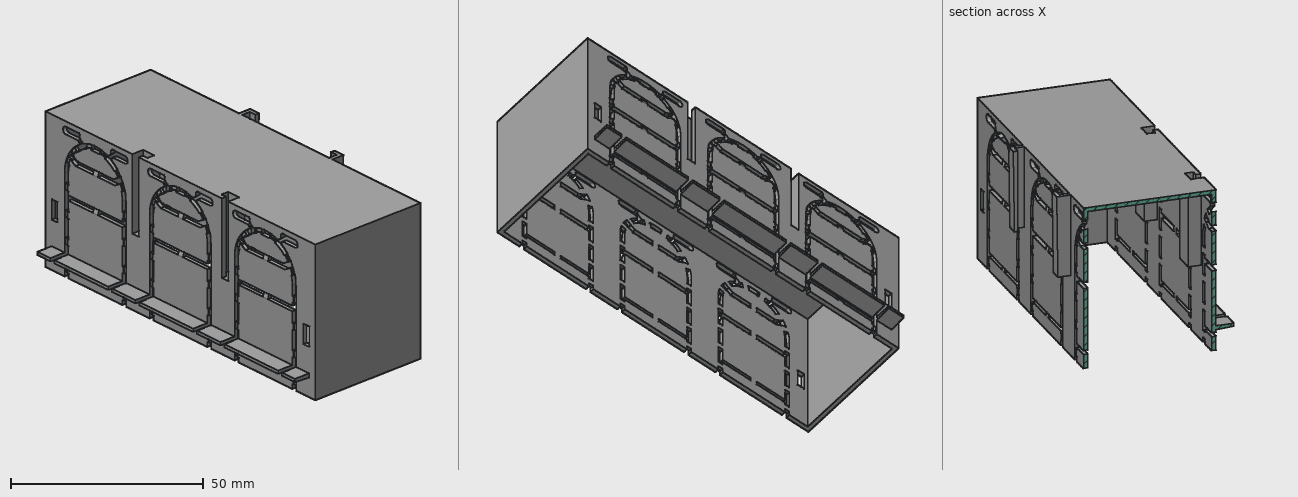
import cadquery as cq
import math

WIDTH = 105.0
DEPTH = 36.6
HEIGHT = 45.0
WALL = 1.3

WINDOW_PITCH = 33.1
WINDOW_CENTRES = [-WINDOW_PITCH, 0, WINDOW_PITCH]
GAP = 1.5
ARCH_RADIUS = 12.0
PANE_RADIUS = ARCH_RADIUS - GAP
ARCH_CENTRE_Z = 30.0
PANE_TOP = 40.3

LOWER_GAP = (4.0, 5.0)
MIDDLE_GAP = (22.5, 24.0)
UPPER_GAP = (33.5, 35.1)
UPPER_GAP_RISE = math.tan(math.radians(30))
UPPER_GAP_BOTTOM_HALF = 7.7
UPPER_GAP_TOP_HALF = 7.0

TAB_SIZE = 2.0
TAB_RECESS = 0.4
TAB_ROOT = 0.3
TAB_LEAN = 0.3
TAB_OVERLAP = 0.2
SIDE_TAB_COUNT = 4
SIDE_TAB_PITCH = 7.9
FIRST_SIDE_TAB_Z = 2.3
ARCH_TAB_ANGLES = [20, 40, 75.5]

SLOT_OUTER = 12.6
SLOT_INNER = 6.1
SLOT_BOTTOM = 41.3
SLOT_TOP = 43.5
SLOT_CORNER = 0.4
NECK_OUTER = 6.3
NECK_TIP = 4.6
NECK_BEND_Z = 42.0
NECK_TIP_Z = 40.8
NECK_BASE_Z = 39.9

SHELF_REACH = 4.9
SHELF_LENGTH = 100.2
SHELF_TOP = 6.9
SHELF_ROOT_BOTTOM = 5.7
SHELF_TIP_BOTTOM = 6.0

END_HOLE_WIDTH = 2.2
END_HOLE_HEIGHT = 5.9
END_HOLE_X = (SHELF_LENGTH - END_HOLE_WIDTH) / 2
END_HOLE_Z = 17.5

HOOK_OUTER_X = 18.2
HOOK_LENGTH = 3.5
HOOK_THICKNESS = 1.3
HOOK_REACH = 3.9
HOOK_TAPER = 0.3
HOOK_BOTTOM = 22.5
GROOVE_OUTER_X = 18.7
GROOVE_LENGTH = 4.3
GROOVE_STEM = 2.5
GROOVE_DEPTH = 3.8
GROOVE_LIP = 1.5
GROOVE_BOTTOM = 22.0
HOUSING_WALL = 1.0

SNAP_WIDTH = 2.7
SNAP_REACH = 1.3
SNAP_TIP_Z = 41.7
SNAP_ROOT_Z = ARCH_CENTRE_Z + ARCH_RADIUS + TAB_OVERLAP
SNAP_LEAN = 0.6


def block(x_range, y_range, z_range):
    """Box between the given limits."""
    sizes = [limits[1] - limits[0] for limits in (x_range, y_range, z_range)]
    corner = (x_range[0], y_range[0], z_range[0])
    return cq.Workplane("XY").box(*sizes, centered=False).translate(corner)


def from_front(outline, start_y, end_y):
    """Extrude an outline drawn on XZ from start_y back to end_y."""
    return outline.extrude(-(end_y - start_y)).translate((0, start_y, 0))


def side_profile(points, centre_x, width):
    """Extrude a (Y, Z) polygon along X, centred on centre_x."""
    profile = cq.Workplane("YZ").polyline(points).close()
    return profile.extrude(width / 2, both=True).translate((centre_x, 0, 0))


def both_sides(shape):
    """The shape together with its mirror image across X = 0."""
    return shape.union(shape.mirror("YZ"))


def arch(radius, start_y, end_y):
    """Round-topped window shape standing on Z = 0."""
    outline = (
        cq.Workplane("XZ")
        .moveTo(-radius, 0)
        .lineTo(-radius, ARCH_CENTRE_Z)
        .threePointArc((0, ARCH_CENTRE_Z + radius), (radius, ARCH_CENTRE_Z))
        .lineTo(radius, 0)
        .close()
    )
    return from_front(outline, start_y, end_y)


def upper_gap(start_y, end_y):
    """Horizontal gap whose two ends bend upward."""
    bottom, top = UPPER_GAP
    bottom_end = bottom + (ARCH_RADIUS - UPPER_GAP_BOTTOM_HALF) * UPPER_GAP_RISE
    top_end = top + (ARCH_RADIUS - UPPER_GAP_TOP_HALF) * UPPER_GAP_RISE
    right = [
        (UPPER_GAP_BOTTOM_HALF, bottom),
        (ARCH_RADIUS, bottom_end),
        (ARCH_RADIUS, top_end),
        (UPPER_GAP_TOP_HALF, top),
    ]
    left = [(-x, z) for x, z in reversed(right)]
    outline = cq.Workplane("XZ").polyline(right + left).close()
    return from_front(outline, start_y, end_y)


def keyhole_slot(start_y, end_y):
    """Rounded slot with a neck that opens into the right shoulder of the arch."""
    end_radius = (SLOT_TOP - SLOT_BOTTOM) / 2
    outline = (
        cq.Workplane("XZ")
        .moveTo(NECK_OUTER, SLOT_BOTTOM - SLOT_CORNER)
        .lineTo(NECK_OUTER + SLOT_CORNER, SLOT_BOTTOM)
        .lineTo(SLOT_OUTER - end_radius, SLOT_BOTTOM)
        .threePointArc((SLOT_OUTER, SLOT_BOTTOM + end_radius), (SLOT_OUTER - end_radius, SLOT_TOP))
        .lineTo(SLOT_INNER + SLOT_CORNER, SLOT_TOP)
        .lineTo(SLOT_INNER, SLOT_TOP - SLOT_CORNER)
        .lineTo(SLOT_INNER, NECK_BEND_Z)
        .lineTo(NECK_TIP, NECK_TIP_Z)
        .lineTo(NECK_TIP, NECK_BASE_Z)
        .lineTo(NECK_OUTER, NECK_BASE_Z)
        .close()
    )
    return from_front(outline, start_y, end_y)


def window_gaps(start_y, end_y):
    """All the open space of one window: arch and slots, less the panes."""
    depth = (start_y, end_y)
    pane_span = (-PANE_RADIUS, PANE_RADIUS)
    panes = arch(PANE_RADIUS, start_y, end_y)
    panes = panes.intersect(block(pane_span, depth, (0, PANE_TOP)))
    for gap in (LOWER_GAP, MIDDLE_GAP):
        panes = panes.cut(block(pane_span, depth, gap))
    panes = panes.cut(upper_gap(start_y, end_y))
    openings = arch(ARCH_RADIUS, start_y, end_y).union(both_sides(keyhole_slot(start_y, end_y)))
    return openings.cut(panes)


def bridge_tab():
    """Tab lying along +X across the gap, recessed except for its root on the pane."""
    half = TAB_SIZE / 2
    pane_side = PANE_RADIUS - TAB_OVERLAP
    bridge = block((pane_side, ARCH_RADIUS + TAB_OVERLAP), (TAB_RECESS, WALL), (-half, half))
    return bridge.union(block((pane_side, PANE_RADIUS + TAB_ROOT), (0, WALL), (-half, half)))


def ramp_tab(gap):
    """Tab across a horizontal gap, its face leaning back toward the top."""
    bottom, top = gap
    lean = TAB_LEAN * (top - bottom)
    points = [
        (0, bottom - TAB_OVERLAP),
        (0, bottom),
        (lean, top),
        (lean, top + TAB_OVERLAP),
        (WALL, top + TAB_OVERLAP),
        (WALL, bottom - TAB_OVERLAP),
    ]
    return side_profile(points, 0, TAB_SIZE)


def window_tabs():
    """All the tabs of one window in the front wall."""
    tabs = cq.Workplane("XY")
    for index in range(SIDE_TAB_COUNT):
        z = FIRST_SIDE_TAB_Z + index * SIDE_TAB_PITCH
        tabs = tabs.union(both_sides(bridge_tab().translate((0, 0, z))))
    for angle in ARCH_TAB_ANGLES:
        tab = bridge_tab().rotate((0, 0, 0), (0, 1, 0), -angle)
        tabs = tabs.union(both_sides(tab.translate((0, 0, ARCH_CENTRE_Z))))
    for gap in (LOWER_GAP, MIDDLE_GAP, UPPER_GAP):
        tabs = tabs.union(ramp_tab(gap))
    return tabs


def shell():
    """Hollow body, open at the bottom."""
    outer = block((-WIDTH / 2, WIDTH / 2), (0, DEPTH), (0, HEIGHT))
    inner_half = WIDTH / 2 - WALL
    return outer.cut(block((-inner_half, inner_half), (WALL, DEPTH - WALL), (0, HEIGHT - WALL)))


def shelf():
    """Thin ledge along the front with a tapered underside."""
    points = [
        (0, SHELF_ROOT_BOTTOM),
        (-SHELF_REACH, SHELF_TIP_BOTTOM),
        (-SHELF_REACH, SHELF_TOP),
        (0, SHELF_TOP),
    ]
    return side_profile(points, 0, SHELF_LENGTH)


def groove_housing():
    """Solid block behind the front wall that holds the left groove."""
    x_range = (-GROOVE_OUTER_X - HOUSING_WALL, -GROOVE_OUTER_X + GROOVE_LENGTH + HOUSING_WALL)
    return block(x_range, (0, GROOVE_DEPTH + HOUSING_WALL), (GROOVE_BOTTOM - HOUSING_WALL, HEIGHT))


def groove():
    """Left L-shaped groove, open at the front and the top."""
    left = -GROOVE_OUTER_X
    z_range = (GROOVE_BOTTOM, HEIGHT)
    stem = block((left, left + GROOVE_STEM), (0, GROOVE_DEPTH), z_range)
    return stem.union(block((left, left + GROOVE_LENGTH), (GROOVE_LIP, GROOVE_DEPTH), z_range))


def hook():
    """Left L-shaped hook on the back, its outer face tapering in toward the bottom."""
    left = -HOOK_OUTER_X
    tip = DEPTH + HOOK_REACH
    points = [
        (DEPTH, HOOK_BOTTOM),
        (tip - HOOK_TAPER, HOOK_BOTTOM),
        (tip, HEIGHT),
        (DEPTH, HEIGHT),
    ]
    blank = side_profile(points, left + HOOK_LENGTH / 2, HOOK_LENGTH)
    throat = block(
        (left + HOOK_THICKNESS, left + HOOK_LENGTH),
        (DEPTH, tip - HOOK_THICKNESS),
        (HOOK_BOTTOM, HEIGHT),
    )
    return blank.cut(throat)


def snap_wedge():
    """Wedge across the top of the left window, leaning out of the back wall."""
    points = [
        (DEPTH - WALL, SNAP_ROOT_Z),
        (DEPTH, SNAP_ROOT_Z),
        (DEPTH + SNAP_REACH, SNAP_TIP_Z),
        (DEPTH, PANE_TOP),
        (DEPTH - WALL + SNAP_LEAN, PANE_TOP),
    ]
    return side_profile(points, -WINDOW_PITCH, SNAP_WIDTH)


def end_hole():
    """Rectangular hole through the front and back walls near the right end."""
    hole = cq.Workplane("XZ").center(END_HOLE_X, END_HOLE_Z).rect(END_HOLE_WIDTH, END_HOLE_HEIGHT)
    return from_front(hole, 0, DEPTH)


result = shell().union(shelf()).union(both_sides(groove_housing()))
result = result.cut(both_sides(groove())).cut(both_sides(end_hole()))

gaps = window_gaps(-SHELF_REACH, DEPTH)
front_tabs = window_tabs()
back_tabs = front_tabs.mirror("XZ").translate((0, DEPTH, 0))
for centre in WINDOW_CENTRES:
    result = result.cut(gaps.translate((centre, 0, 0)))
for centre in WINDOW_CENTRES:
    result = result.union(front_tabs.translate((centre, 0, 0)))
    result = result.union(back_tabs.translate((centre, 0, 0)))

result = result.union(both_sides(hook())).union(both_sides(snap_wedge()))